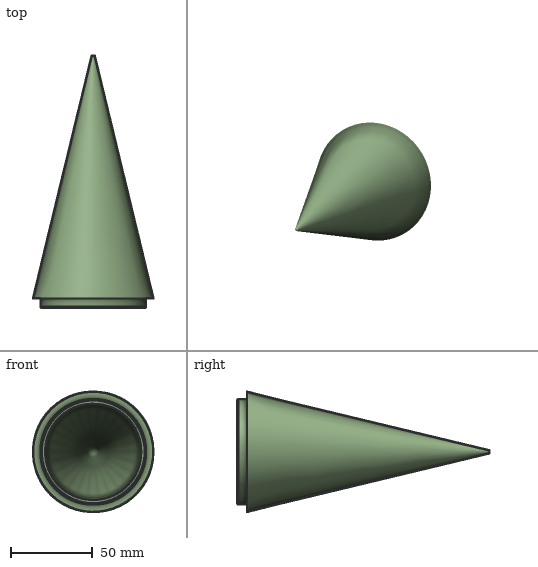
import cadquery as cq
import math

length = 155.0
base_radius = 74.0 / 2
collar_radius = 65.0 / 2
bore_radius = 59.0 / 2
collar_length = 6.0
collar_chamfer = 1.0
tip_radius = 1.0
tip_fillet = 0.8
bore_depth = 18.8
blend_radius = 50.0

base_y = -length / 2
shoulder_y = base_y + collar_length
tip_y = length / 2

half_angle = math.atan((base_radius - tip_radius) / (tip_y - shoulder_y))
blend_start_y = base_y + bore_depth


def blend_point(angle):
    """Point on the blend arc, turned by an angle from its tangency with the bore."""
    radius = bore_radius - blend_radius * (1 - math.cos(angle))
    return radius, blend_start_y + blend_radius * math.sin(angle)


cone_start = blend_point(half_angle)
inner_apex_y = cone_start[1] + cone_start[0] / math.tan(half_angle)


def make_outer_body():
    collar = (
        cq.Workplane("XZ", origin=(0, base_y, 0))
        .circle(collar_radius)
        .extrude(-collar_length)
        .faces("<Y")
        .chamfer(collar_chamfer)
    )
    cone = (
        cq.Workplane("XY")
        .moveTo(0, shoulder_y)
        .lineTo(base_radius, shoulder_y)
        .lineTo(tip_radius, tip_y)
        .lineTo(0, tip_y)
        .close()
        .revolve(360, (0, 0, 0), (0, 1, 0))
        .faces(">Y")
        .edges()
        .fillet(tip_fillet)
    )
    return cone.union(collar)


def make_cavity():
    return (
        cq.Workplane("XY")
        .moveTo(0, base_y)
        .lineTo(bore_radius, base_y)
        .lineTo(bore_radius, blend_start_y)
        .threePointArc(blend_point(half_angle / 2), cone_start)
        .lineTo(0, inner_apex_y)
        .close()
        .revolve(360, (0, 0, 0), (0, 1, 0))
    )


result = make_outer_body().cut(make_cavity())